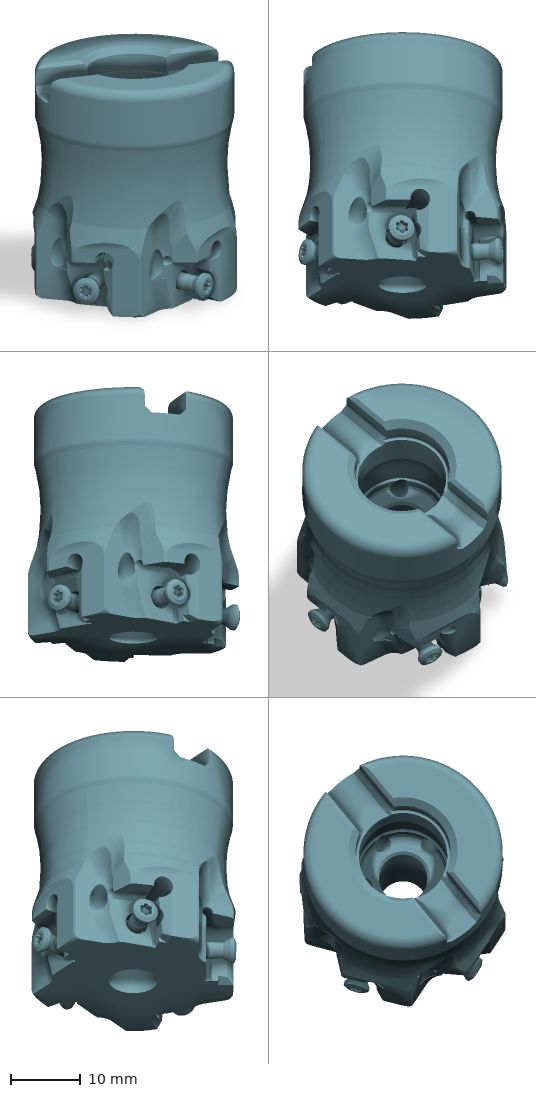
import cadquery as cq
import math


TEETH = 5
TOOTH_ANGLE = 360 / TEETH

HEIGHT = 33.73
COLLAR_RADIUS = 14.27
COLLAR_EDGE_RADIUS = 1.52
COLLAR_BOTTOM = 25.9
COLLAR_EASE_RADIUS = 14.2
COLLAR_EASE = 25.4
WAIST_TOP_RADIUS = 14.03
WAIST_TOP = 24.85
WAIST_RADIUS = 13.3
WAIST_HEIGHT = 19.23
CONE_TOP_RADIUS = 13.9
CONE_TOP = 13.1
HEAD_RADIUS = 15.1
HEAD_TOP = 8.75
CONE_SLOPE = math.radians(18)
CONE_BLEND_RADIUS = 4.4
BOTTOM_EDGE_RADIUS = 0.78

MOUTH_RADIUS = 6.8
MOUTH_CHAMFER = 1
MOUTH_BOTTOM = 30.25
BORE_RADIUS = 6.35
BORE_FLOOR = 16.85
BORE_CORNER_CHAMFER = 0.3
RELIEF_RADIUS = 6.75
RELIEF_TOP = 24.85
RELIEF_TAPER = 0.67
RELIEF_BOTTOM = 18.55
BOLT_HOLE_RADIUS = 3.47
BOLT_HOLE_CHAMFER = 0.4
SLOT_WIDTH = 6.27
SLOT_FLOOR = 29.75
SLOT_FLOOR_CHAMFER = 0.95
SLOT_EDGE_CHAMFER = 0.55

REACH = 20.25
FLAT_DEPTH = 14.35
FLAT_TOP = 10.0
FLAT_TILT = 0.11
FLAT_TOP_RADIUS = 2.15
FLAT_HALF_LENGTH = 6.75

FLUTE_FLOOR_DEPTH = 9.25
FLUTE_ROOT_RADIUS = 1.9
FLUTE_ROOT_Y = 8.77
FLUTE_WALL_SLOPE = 0.53
FLUTE_BOTTOM = 4.9
FLUTE_STRAIGHT_TOP = 12.05
FLUTE_RUNOUT_RADIUS = 4.4
FLUTE_RUNOUT_ANGLE = 70
RUNOUT_CLEARANCE = 0.17
GULLY_ROOT_RADIUS = 2.7
GULLY_ROOT_Y = 9.25
GULLY_SLOPE = 0.3

UPPER_CUT_START = cq.Vector(-11.15, 6.75, 10.25)
UPPER_CUT_NORMAL = cq.Vector(-0.25, 0.94, 0.24)
UPPER_CUT_RUN = cq.Vector(-0.34, -0.3, 0.89)
UPPER_CUT_CORNER = 1.2
UPPER_CUT_ANGLE = math.radians(61)
UPPER_CUT_RADIUS = 3.05
UPPER_CUT_FLOOR = 5.05
UPPER_CUT_BASE_RISE = 0.5
UPPER_CUT_OVERLAP = 1
UPPER_CUT_LENGTH = 11.8
UPPER_CUT_WIDTH = 10.12

SEAT_DEPTH = 10.35
POCKET_SIDE_DEPTH = 10.12
WALL_RIM_DEPTH = 13.4
POCKET_RIM_Y = -0.9
POCKET_HEIGHT = 6.9
SEAT_WALL_Y = 1.1
WALL_RIM_Y = 0.75
SEAT_EDGE_Y = 6.35
POCKET_SIDE_Y = 9.1
WALL_LEAN = 0.1
SEAT_EDGE_LEAN = 0.2
CEILING_SLOPE = 0.07
CEILING_POINT = (-14.35, 7.1, 7.42)
CEILING_NORMAL = (0, CEILING_SLOPE, 1)
CEILING_GROOVE_RADIUS = 0.75
CEILING_GROOVE_DEPTH = 10.52
CEILING_GROOVE_Z = 7.6
CEILING_GROOVE_LENGTH = 8.43
CORNER_GROOVE_RADIUS = 0.55
CORNER_GROOVE_DEPTH = 10.65
CORNER_GROOVE_Y = 0.88
CORNER_HOLE_RADIUS = 1.4
CORNER_HOLE_Y = 0.3
CORNER_HOLE_Z = 8.05
CORNER_HOLE_LENGTH = 4.72
CORNER_HOLE_END_SLOPE = 0.7
CORNER_HOLE_TILT = 8
SCOOP_RADIUS = 1.7
SCOOP_Y = 1.72
SCOOP_Z = 3.55
TOE_DEPTH = 12.15
TOE_WIDTH = 1.35
TOE_HEIGHT = 0.95

COOLANT_RADIUS = 1.28
COOLANT_INLET = cq.Vector(-3.0, 5.23, BORE_FLOOR)
COOLANT_OUTLET = cq.Vector(-9.25, 8.35, 7.35)
COOLANT_OVERRUN = 2.02

SCREW_Y = 3.05
SCREW_Z = 3.45
SCREW_TIP = 6.75
SCREW_TOP = 14.67
THREAD_RADIUS = 1.25
THREAD_END = 11.2
SHANK_RADIUS = 1.18
SHANK_START = 11.6
SHANK_END = 12.82
SCREW_HEAD_RADIUS = 1.85
SCREW_HEAD_BOTTOM = 13.9
SCREW_HEAD_EDGE = 14.37
SCREW_FACE_RADIUS = 1.28
TIP_CHAMFER = 0.27
SOCKET_TIP_RADIUS = 0.98
SOCKET_VALLEY_RADIUS = 0.67
SOCKET_DEPTH = 1
SOCKET_LOBES = 6
COUNTERSINK_RADIUS = 1.65
COUNTERSINK_DEPTH = 2.02


def around_teeth(shape, index):
    return shape.rotate((0, 0, 0), (0, 0, 1), index * TOOTH_ANGLE)


def body_blank():
    blend_rise = CONE_BLEND_RADIUS * math.sin(CONE_SLOPE)
    blend_step = CONE_BLEND_RADIUS * (1 - math.cos(CONE_SLOPE))
    blend_middle = (
        HEAD_RADIUS - CONE_BLEND_RADIUS * (1 - math.cos(CONE_SLOPE / 2)),
        HEAD_TOP + CONE_BLEND_RADIUS * math.sin(CONE_SLOPE / 2),
    )
    return (
        cq.Workplane("XZ")
        .moveTo(0, 0)
        .lineTo(HEAD_RADIUS - BOTTOM_EDGE_RADIUS, 0)
        .radiusArc((HEAD_RADIUS, BOTTOM_EDGE_RADIUS), -BOTTOM_EDGE_RADIUS)
        .lineTo(HEAD_RADIUS, HEAD_TOP)
        .threePointArc(blend_middle, (HEAD_RADIUS - blend_step, HEAD_TOP + blend_rise))
        .lineTo(CONE_TOP_RADIUS, CONE_TOP)
        .threePointArc((WAIST_RADIUS, WAIST_HEIGHT), (WAIST_TOP_RADIUS, WAIST_TOP))
        .lineTo(COLLAR_EASE_RADIUS, COLLAR_EASE)
        .tangentArcPoint((COLLAR_RADIUS, COLLAR_BOTTOM), relative=False)
        .lineTo(COLLAR_RADIUS, HEIGHT - COLLAR_EDGE_RADIUS)
        .radiusArc((COLLAR_RADIUS - COLLAR_EDGE_RADIUS, HEIGHT), -COLLAR_EDGE_RADIUS)
        .lineTo(0, HEIGHT)
        .close()
        .revolve(360, (0, 0), (0, 1))
    )


def arbor_bore():
    return (
        cq.Workplane("XZ")
        .polyline([
            (0, 0),
            (BOLT_HOLE_RADIUS, 0),
            (BOLT_HOLE_RADIUS, BORE_FLOOR - BOLT_HOLE_CHAMFER),
            (BOLT_HOLE_RADIUS + BOLT_HOLE_CHAMFER, BORE_FLOOR),
            (BORE_RADIUS - BORE_CORNER_CHAMFER, BORE_FLOOR),
            (BORE_RADIUS, BORE_FLOOR + BORE_CORNER_CHAMFER),
            (BORE_RADIUS, RELIEF_BOTTOM),
            (RELIEF_RADIUS, RELIEF_BOTTOM),
            (RELIEF_RADIUS, RELIEF_TOP - RELIEF_TAPER),
            (BORE_RADIUS, RELIEF_TOP),
            (BORE_RADIUS, MOUTH_BOTTOM),
            (MOUTH_RADIUS, MOUTH_BOTTOM),
            (MOUTH_RADIUS, HEIGHT - MOUTH_CHAMFER),
            (MOUTH_RADIUS + MOUTH_CHAMFER, HEIGHT),
            (0, HEIGHT),
        ])
        .close()
        .revolve(360, (0, 0), (0, 1))
    )


def drive_slot():
    half = SLOT_WIDTH / 2
    right_side = [
        (half - SLOT_FLOOR_CHAMFER, SLOT_FLOOR),
        (half, SLOT_FLOOR + SLOT_FLOOR_CHAMFER),
        (half, HEIGHT - SLOT_EDGE_CHAMFER),
        (half + SLOT_EDGE_CHAMFER, HEIGHT),
    ]
    left_side = [(-x, z) for x, z in reversed(right_side)]
    return cq.Workplane("XZ").polyline(right_side + left_side).close().extrude(REACH, both=True)


def tooth_flat():
    """Cut beyond the flat, with a tilted and rounded upper end."""
    plane = cq.Plane(origin=(0, 0, FLAT_TOP), xDir=(1, 0, 0), normal=(0, -1, FLAT_TILT))
    return (
        cq.Workplane(plane)
        .moveTo(-FLAT_DEPTH, -REACH)
        .lineTo(-FLAT_DEPTH, 0)
        .radiusArc((-FLAT_DEPTH - FLAT_TOP_RADIUS, FLAT_TOP_RADIUS), -FLAT_TOP_RADIUS)
        .lineTo(-REACH, FLAT_TOP_RADIUS)
        .lineTo(-REACH, -REACH)
        .close()
        .extrude(FLAT_HALF_LENGTH, both=True)
    )


def flute_outline(height, root_y, root_radius, mouth_depth):
    """Flat floor, quarter-round root and sloping wall, seen along Z."""
    wall_depth = FLUTE_FLOOR_DEPTH + root_radius
    wall_y = root_y - root_radius
    mouth_y = wall_y - FLUTE_WALL_SLOPE * (mouth_depth - wall_depth)
    return (
        cq.Workplane("XY", origin=(0, 0, height))
        .moveTo(-FLUTE_FLOOR_DEPTH, REACH)
        .lineTo(-FLUTE_FLOOR_DEPTH, root_y)
        .radiusArc((-wall_depth, wall_y), root_radius)
        .lineTo(-mouth_depth, mouth_y)
        .lineTo(-mouth_depth, REACH)
        .close()
    )


def flute():
    straight = flute_outline(FLUTE_BOTTOM, FLUTE_ROOT_Y, FLUTE_ROOT_RADIUS, REACH).extrude(
        FLUTE_STRAIGHT_TOP - FLUTE_BOTTOM
    )
    runout_x = -FLUTE_FLOOR_DEPTH - FLUTE_RUNOUT_RADIUS
    runout = flute_outline(
        FLUTE_STRAIGHT_TOP, FLUTE_ROOT_Y, FLUTE_ROOT_RADIUS, -runout_x - RUNOUT_CLEARANCE
    ).revolve(FLUTE_RUNOUT_ANGLE, (runout_x, 0.35), (runout_x, 0))
    return straight.union(runout)


def flute_gully():
    """Lower part of the flute, which leans under the insert."""
    outline = flute_outline(FLUTE_BOTTOM, GULLY_ROOT_Y, GULLY_ROOT_RADIUS, REACH)
    fall = cq.Vector(0, -GULLY_SLOPE * FLUTE_BOTTOM, -FLUTE_BOTTOM)
    return cq.Workplane(cq.Solid.extrudeLinear(outline.wires().val(), [], fall))


def flute_upper_cut():
    """Leaning V cut with a rounded corner, which runs out of the body at its upper end."""
    run = UPPER_CUT_RUN.normalized()
    tangent_length = UPPER_CUT_RADIUS * math.tan(UPPER_CUT_ANGLE / 2)

    def floor_point(distance):
        across = distance * math.sin(UPPER_CUT_ANGLE)
        inwards = UPPER_CUT_CORNER + distance * math.cos(UPPER_CUT_ANGLE)
        return (across, -inwards)

    wall_normal = UPPER_CUT_NORMAL.normalized()
    across_base = wall_normal + run * UPPER_CUT_BASE_RISE
    base = cq.Plane(
        origin=UPPER_CUT_START - run * UPPER_CUT_OVERLAP,
        xDir=across_base,
        normal=across_base.cross(run.cross(wall_normal)),
    )
    outline = (
        cq.Workplane(base)
        .moveTo(0, UPPER_CUT_WIDTH)
        .lineTo(0, tangent_length - UPPER_CUT_CORNER)
        .tangentArcPoint(floor_point(tangent_length), relative=False)
        .lineTo(*floor_point(UPPER_CUT_FLOOR))
        .lineTo(floor_point(UPPER_CUT_FLOOR)[0], UPPER_CUT_WIDTH)
        .close()
    )
    return cq.Workplane(
        cq.Solid.extrudeLinear(outline.wires().val(), [], run * UPPER_CUT_LENGTH)
    )


def pocket_outline(height):
    wall_shift = WALL_LEAN * (height - POCKET_HEIGHT)
    edge_shift = SEAT_EDGE_LEAN * (height - POCKET_HEIGHT)
    return cq.Workplane("XY", origin=(0, 0, height)).polyline([
        (-POCKET_SIDE_DEPTH, POCKET_SIDE_Y + edge_shift),
        (-SEAT_DEPTH, SEAT_EDGE_Y + edge_shift),
        (-SEAT_DEPTH, SEAT_WALL_Y + wall_shift),
        (-WALL_RIM_DEPTH, WALL_RIM_Y + wall_shift),
        (-FLAT_DEPTH, POCKET_RIM_Y),
        (-REACH, POCKET_RIM_Y),
        (-REACH, POCKET_SIDE_Y + edge_shift),
    ]).close().wires().val()


def insert_pocket():
    outlines = [pocket_outline(0), pocket_outline(FLAT_TOP)]
    pocket = cq.Workplane(cq.Solid.makeLoft(outlines, True))
    ceiling = cq.Plane(origin=CEILING_POINT, xDir=(1, 0, 0), normal=CEILING_NORMAL)
    below_ceiling = cq.Workplane(ceiling).rect(2 * REACH, 2 * REACH).extrude(-REACH)

    groove_foot_y = CORNER_GROOVE_Y - WALL_LEAN * POCKET_HEIGHT
    groove = cq.Workplane(cq.Solid.makeCylinder(
        CORNER_GROOVE_RADIUS, REACH,
        cq.Vector(-CORNER_GROOVE_DEPTH, groove_foot_y, 0), cq.Vector(0, WALL_LEAN, 1),
    ))
    return pocket.union(groove).intersect(below_ceiling)


def ceiling_groove():
    """Round relief between the seat and the pocket ceiling, open to the flute."""
    start = cq.Vector(-CEILING_GROOVE_DEPTH, CORNER_HOLE_Y, CEILING_GROOVE_Z)
    start += cq.Vector(0, 0, CEILING_SLOPE * (SEAT_EDGE_Y - CORNER_HOLE_Y))
    direction = cq.Vector(0, 1, -CEILING_SLOPE)
    return cq.Workplane(
        cq.Solid.makeCylinder(CEILING_GROOVE_RADIUS, CEILING_GROOVE_LENGTH, start, direction)
    )


def pocket_corner_hole():
    """Drilled inwards and slightly down from the flat, with an end that slopes up inwards."""
    end_bottom = CORNER_HOLE_LENGTH - CORNER_HOLE_END_SLOPE * CORNER_HOLE_RADIUS
    end_top = CORNER_HOLE_LENGTH + CORNER_HOLE_END_SLOPE * CORNER_HOLE_RADIUS
    hole = cq.Workplane("YZ").circle(CORNER_HOLE_RADIUS).extrude(REACH, both=True)
    outside_end = (
        cq.Workplane("XZ")
        .polyline([
            (end_bottom, -CORNER_HOLE_RADIUS),
            (end_top, CORNER_HOLE_RADIUS),
            (-CORNER_HOLE_RADIUS, CORNER_HOLE_RADIUS),
            (-CORNER_HOLE_RADIUS, -CORNER_HOLE_RADIUS),
        ])
        .close()
        .extrude(CORNER_HOLE_RADIUS, both=True)
    )
    return (
        hole.intersect(outside_end)
        .rotate((0, 0, 0), (0, 1, 0), CORNER_HOLE_TILT)
        .translate((-FLAT_DEPTH, CORNER_HOLE_Y, CORNER_HOLE_Z))
    )


def screw_scoop():
    return cq.Workplane("YZ", origin=(-SEAT_DEPTH, SCOOP_Y, SCOOP_Z)).circle(SCOOP_RADIUS).extrude(-REACH)


def toe_chamfer():
    return (
        cq.Workplane("YZ", origin=(-TOE_DEPTH, POCKET_RIM_Y, 0))
        .polyline([(0, 0), (TOE_WIDTH, 0), (TOE_WIDTH, TOE_HEIGHT)])
        .close()
        .extrude(-REACH)
    )


def coolant_hole():
    direction = (COOLANT_OUTLET - COOLANT_INLET).normalized()
    start = COOLANT_INLET - direction * COOLANT_OVERRUN
    length = (COOLANT_OUTLET - COOLANT_INLET).Length + 2 * COOLANT_OVERRUN
    return cq.Workplane(cq.Solid.makeCylinder(COOLANT_RADIUS, length, start, direction))


def screw_hole():
    countersink_floor = SEAT_DEPTH - COUNTERSINK_DEPTH
    return (
        cq.Workplane("XY")
        .polyline([
            (-SCREW_TIP, 0),
            (-SCREW_TIP, THREAD_RADIUS),
            (-countersink_floor, THREAD_RADIUS),
            (-countersink_floor, COUNTERSINK_RADIUS),
            (-SEAT_DEPTH, COUNTERSINK_RADIUS),
            (-SEAT_DEPTH, 0),
        ])
        .close()
        .revolve(360, (0, 0), (1, 0))
        .translate((0, SCREW_Y, SCREW_Z))
    )


def cutter_body():
    body = body_blank().cut(arbor_bore()).cut(drive_slot())
    tooth_cuts = [
        tooth_flat(),
        flute(),
        flute_gully(),
        flute_upper_cut(),
        insert_pocket(),
        ceiling_groove(),
        pocket_corner_hole(),
        screw_scoop(),
        toe_chamfer(),
        coolant_hole(),
        screw_hole(),
    ]
    for index in range(TEETH):
        for cut in tooth_cuts:
            body = body.cut(around_teeth(cut, index))
    return body.clean()


def star_point(radius, step):
    angle = math.pi / 2 + step * math.pi / SOCKET_LOBES
    return (radius * math.cos(angle), radius * math.sin(angle))


def screw_socket():
    """Star-shaped socket: one arc per lobe, from valley to valley."""
    star = cq.Workplane("YZ", origin=(-SCREW_TOP, SCREW_Y, SCREW_Z))
    star = star.moveTo(*star_point(SOCKET_VALLEY_RADIUS, -1))
    for lobe in range(SOCKET_LOBES):
        tip = star_point(SOCKET_TIP_RADIUS, 2 * lobe)
        valley = star_point(SOCKET_VALLEY_RADIUS, 2 * lobe + 1)
        star = star.threePointArc(tip, valley)
    return star.close().extrude(SOCKET_DEPTH)


def insert_screw():
    turned = (
        cq.Workplane("XY")
        .moveTo(-SCREW_TIP, 0)
        .lineTo(-SCREW_TIP, THREAD_RADIUS - TIP_CHAMFER)
        .lineTo(-SCREW_TIP - TIP_CHAMFER, THREAD_RADIUS)
        .lineTo(-THREAD_END, THREAD_RADIUS)
        .lineTo(-SHANK_START, SHANK_RADIUS)
        .lineTo(-SHANK_END, SHANK_RADIUS)
        .lineTo(-SCREW_HEAD_BOTTOM, SCREW_HEAD_RADIUS)
        .lineTo(-SCREW_HEAD_EDGE, SCREW_HEAD_RADIUS)
        .lineTo(-SCREW_TOP, SCREW_FACE_RADIUS)
        .lineTo(-SCREW_TOP, 0)
        .close()
        .revolve(360, (0, 0), (1, 0))
        .translate((0, SCREW_Y, SCREW_Z))
    )
    return turned.cut(screw_socket())


body = cutter_body()
screws = [around_teeth(insert_screw(), index) for index in range(TEETH)]

result = cq.Compound.makeCompound([body.val(), *[screw.val() for screw in screws]])